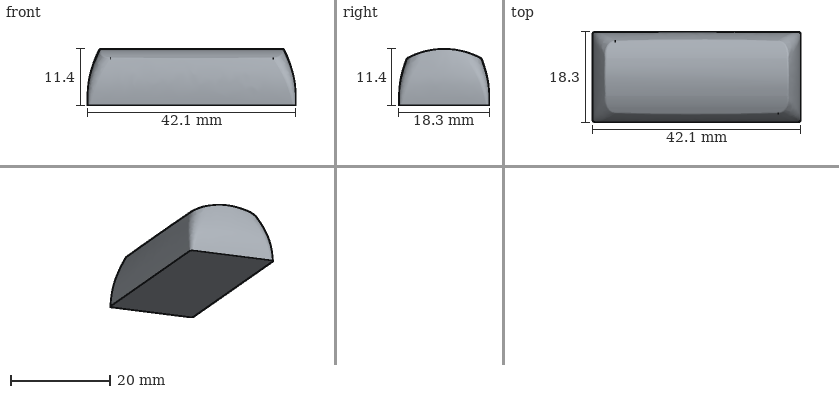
import cadquery as cq
import math

length = 42.05
width = 18.25
height = 11.4

upright_height = 1.6
wall_radius = 20.2

foot_corner_radius = 0.6
top_corner_radius = 3.2
side_bow = 0.25
end_bow = 0.35

crown_radius = 15.55
rim_radius = 0.5

loft_top = height + 0.38
outline_heights = [0, 0.85, 2.1, 3.8, 5.9, 8.85, loft_top]


def wall_inset(z):
    """Distance that the wall has moved inward at height z."""
    rise = max(0.0, z - upright_height)
    return wall_radius - math.sqrt(wall_radius**2 - rise**2)


def add_side(outline, middle, end, z):
    """Draw one side: straight at the foot, bowed through its middle point above it."""
    if z == 0:
        return outline.lineTo(*end)
    return outline.threePointArc(middle, end)


def add_outline(stack, z):
    """Add the closed outline at height z: four sides joined by four round corners."""
    share = z / height
    half_x = length / 2 - wall_inset(z)
    half_y = width / 2 - wall_inset(z)
    radius = foot_corner_radius + (top_corner_radius - foot_corner_radius) * share

    edge_x = half_x - end_bow * share
    edge_y = half_y - side_bow * share
    flat_x = edge_x - radius
    flat_y = edge_y - radius
    round_x = flat_x + radius * math.sqrt(0.5)
    round_y = flat_y + radius * math.sqrt(0.5)

    outline = stack.moveTo(-flat_x, -edge_y)
    for sign in (1, -1):
        outline = add_side(outline, (0, -sign * half_y), (sign * flat_x, -sign * edge_y), z)
        outline = outline.threePointArc((sign * round_x, -sign * round_y), (sign * edge_x, -sign * flat_y))
        outline = add_side(outline, (sign * half_x, 0), (sign * edge_x, sign * flat_y), z)
        outline = outline.threePointArc((sign * round_x, sign * round_y), (sign * flat_x, sign * edge_y))
    return outline.close()


def make_walls():
    """Loft the outlines into a block slightly taller than the cap."""
    stack = cq.Workplane("XY")
    level = 0
    for z in outline_heights:
        stack = add_outline(stack.workplane(offset=z - level), z)
        level = z
    return stack.loft(ruled=False, combine=True)


def make_crown():
    """Cylinder along X whose highest line lies at the full height."""
    return (
        cq.Workplane("YZ")
        .center(0, height - crown_radius)
        .circle(crown_radius)
        .extrude(length, both=True)
    )


cap = make_walls().intersect(make_crown())
result = cap.faces("%CYLINDER").edges().fillet(rim_radius)